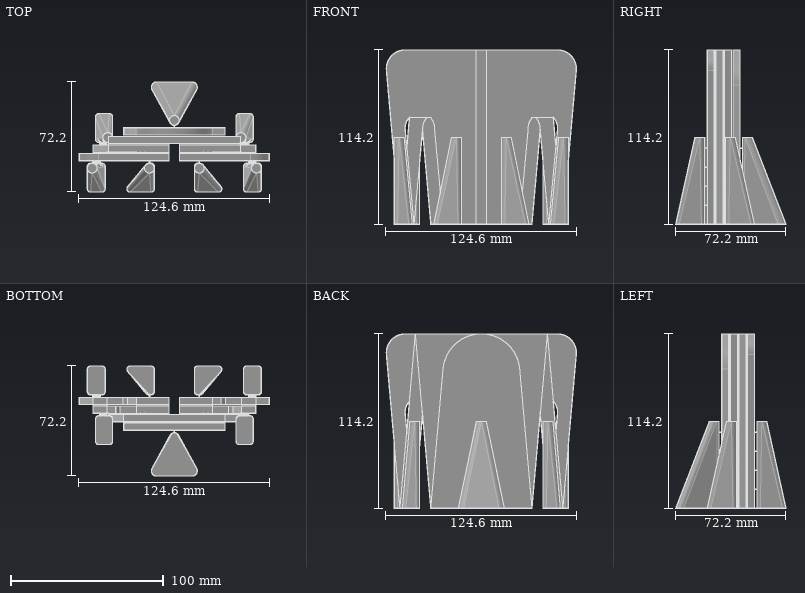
import cadquery as cq
import math

plate_height = 114.2
plate_thickness = 4.9
fold_gap = 0.7
film_thickness = 0.4
half_width = 62.3
corner_radius = 12.5
taper_per_plate = 10.1
slit_half_width = 3.4
shoulder_height = 91.1

window_height = 70.0
window_side_height = 62.3
window_fold_inner = 24.9
window_fold_outer = 44.1
window_lean = 5.7
window_corner_width = 2.9
window_corner_radius = 10.0

foot_height = 56.9
foot_clearance = 1.5
foot_top_radius = 3.2
foot_corner_radius = 2.2
foot_depth = 19.0
foot_top_edge_angle = 1.0
outer_foot_inside = 45.2
outer_foot_outside = 57.0
inner_foot_inside = 13.1
inner_foot_outside = 31.1
middle_foot_inside = 40.4
middle_foot_outside = 51.7
rear_foot_depth = 28.5
rear_foot_half_width = 15.1
rear_foot_corner_radius = 3.5

pin_size = 0.5
pin_spacing = 12.5
pin_count = 5
pin_embedding = 1.0
top_pin_z = (pin_count - 1) * pin_spacing

lean = math.atan(taper_per_plate / plate_height)
corner_overhang = corner_radius * (1 / math.cos(lean) + math.tan(lean) - 1)

front_top_half = half_width + corner_overhang
front_fold_half = front_top_half - taper_per_plate
top_fold_half = front_fold_half - taper_per_plate
rear_fold_half = top_fold_half - taper_per_plate
shoulder_half = rear_fold_half - shoulder_height * math.tan(lean)

film_inset = film_thickness * window_lean / window_side_height


def front_y(index):
    """Y of the front face of a plate."""
    return index * (plate_thickness + fold_gap)


def back_y(index):
    """Y of the back face of a plate."""
    return front_y(index) + plate_thickness


def plate(outline, index):
    """Thicken an XZ outline into the given plate."""
    return outline.extrude(-plate_thickness).translate((0, front_y(index), 0))


def box(x_range, y_range, z_range):
    size = [end - start for start, end in (x_range, y_range, z_range)]
    corner = (x_range[0], y_range[0], z_range[0])
    return cq.Workplane("XY").box(*size, centered=False).translate(corner)


def mirrored(body):
    """Copy of a body on the other side of the centre plane."""
    return body.mirror("YZ")


def window(index, lean_outward):
    """Cutter for the half of the +X window that lies in one plate."""
    outer_x = window_fold_outer + lean_outward
    inner_x = window_fold_inner + lean_outward
    outline = (
        cq.Workplane("XZ")
        .moveTo(window_fold_inner, 0)
        .lineTo(window_fold_outer, 0)
        .lineTo(outer_x, window_side_height)
        .radiusArc((outer_x - window_corner_width, window_height), -window_corner_radius)
        .lineTo(inner_x + window_corner_width, window_height)
        .radiusArc((inner_x, window_side_height), -window_corner_radius)
        .close()
    )
    return plate(outline, index)


def half_plate(index, bottom_half, top_half):
    """The +X half of a slit plate, without its window."""
    outline = cq.Workplane("XZ").polyline([
        (slit_half_width, 0),
        (bottom_half, 0),
        (top_half, plate_height),
        (slit_half_width, plate_height),
    ]).close()
    return plate(outline, index)


def make_wing():
    """The +X halves of the first two plates with the films at their two folds."""
    first = half_plate(0, front_fold_half, front_top_half)
    first = first.edges("|Y and >X and >Z").fillet(corner_radius)
    first = first.cut(window(0, window_lean))
    second = half_plate(1, front_fold_half, top_fold_half).cut(window(1, -window_lean))
    wing = first.union(second)
    bottom_gap = (back_y(0), front_y(1))
    bottom_film = (0, film_thickness)
    inner_span = (slit_half_width, window_fold_inner - film_inset)
    outer_span = (window_fold_outer + film_inset, front_fold_half - film_inset)
    for span in (inner_span, outer_span):
        wing = wing.union(box(span, bottom_gap, bottom_film))
    top_film = (plate_height - film_thickness, plate_height)
    top_span = (slit_half_width, top_fold_half - film_inset)
    return wing.union(box(top_span, (back_y(1), front_y(2)), top_film))


def make_folded_sheet():
    outline = cq.Workplane("XZ").polyline([
        (-rear_fold_half, 0),
        (rear_fold_half, 0),
        (top_fold_half, plate_height),
        (-top_fold_half, plate_height),
    ]).close()
    wing = make_wing()
    return plate(outline, 2).union(wing).union(mirrored(wing))


def make_rear_plate():
    outline = (
        cq.Workplane("XZ")
        .moveTo(-rear_fold_half, 0)
        .lineTo(rear_fold_half, 0)
        .lineTo(shoulder_half, shoulder_height)
        .threePointArc((0, plate_height), (-shoulder_half, shoulder_height))
        .close()
    )
    return plate(outline, 3)


def rounded_wire(corners, height):
    """Closed wire of arcs joined by straight lines or, where the arcs share a centre, by more arcs.

    Each corner is (centre x, centre y, radius, start angle, end angle), anticlockwise, in degrees.
    """
    def point(corner, angle):
        x, y, radius = corner[:3]
        turn = math.radians(angle)
        return cq.Vector(x + radius * math.cos(turn), y + radius * math.sin(turn), height)

    edges = []
    for corner, following in zip(corners, corners[1:] + corners[:1]):
        start, end = corner[3:]
        end_point = point(corner, end)
        next_point = point(following, following[3])
        arc_middle = point(corner, (start + end) / 2)
        edges.append(cq.Edge.makeThreePointArc(point(corner, start), arc_middle, end_point))
        if corner[:3] == following[:3]:
            middle = point(corner, end + foot_top_edge_angle / 2)
            edges.append(cq.Edge.makeThreePointArc(end_point, middle, next_point))
        else:
            edges.append(cq.Edge.makeLine(end_point, next_point))
    return cq.Wire.assembleEdges(edges)


def make_foot(base_corners, top_center):
    """Foot over a base given as anticlockwise corner circles (x, y, radius)."""
    count = len(base_corners)
    normals = []
    for i in range(count):
        x0, y0, r0 = base_corners[i - 1]
        x1, y1, r1 = base_corners[i]
        tilt = math.asin((r0 - r1) / math.hypot(x1 - x0, y1 - y0))
        normals.append(math.degrees(math.atan2(y1 - y0, x1 - x0) + tilt) - 90)
    bottom = []
    top = []
    for i in range(count):
        start = normals[i]
        end = start + (normals[(i + 1) % count] - start) % 360
        bottom.append((*base_corners[i], start, end))
        trim = foot_top_edge_angle / 2
        top.append((*top_center, foot_top_radius, start + trim, end - trim))
    wires = [rounded_wire(bottom, 0), rounded_wire(top, foot_height)]
    return cq.Workplane(cq.Solid.makeLoft(wires, True))


def add_pins(foot, plate_face_y, direction, x_bottom, x_top):
    """Give a foot a row of pins that end on a plate face; direction is the foot's side in Y."""
    reach = plate_face_y + direction * (foot_clearance + pin_embedding)
    for i in range(pin_count):
        z = i * pin_spacing
        x = x_bottom + (x_top - x_bottom) * i / (pin_count - 1)
        foot = foot.union(box(
            (x - pin_size / 2, x + pin_size / 2),
            sorted((plate_face_y, reach)),
            (max(0, z - pin_size / 2), z + pin_size / 2),
        ))
    return foot


def block_corners(inside, outside, near_y, far_y):
    """Corner circles of a rounded rectangle, anticlockwise."""
    r = foot_corner_radius
    low_y, high_y = sorted((near_y, far_y))
    return [
        (inside + r, low_y + r, r),
        (outside - r, low_y + r, r),
        (outside - r, high_y - r, r),
        (inside + r, high_y - r, r),
    ]


def leg_center(index, z):
    """X of the middle of the leg outside the window, in one of the first two plates."""
    direction = 1 if index == 0 else -1
    outer = front_fold_half + direction * z * math.tan(lean)
    inner = window_fold_outer + direction * z * window_lean / window_side_height
    return (inner + outer) / 2


def make_outer_foot():
    near_y = front_y(0) - foot_clearance
    corners = block_corners(outer_foot_inside, outer_foot_outside, near_y, near_y - foot_depth)
    foot = make_foot(corners, (outer_foot_outside - foot_top_radius, near_y - foot_top_radius))
    return add_pins(foot, front_y(0), -1, leg_center(0, 0), leg_center(0, top_pin_z))


def make_inner_foot():
    near_y = front_y(0) - foot_clearance
    far_y = near_y - foot_depth
    r = foot_corner_radius
    corners = [
        (inner_foot_inside + r, far_y + r, r),
        (inner_foot_outside - r, far_y + r, r),
        (inner_foot_inside + r, near_y - r, r),
    ]
    top_x = inner_foot_inside + foot_top_radius
    foot = make_foot(corners, (top_x, near_y - foot_top_radius))
    return add_pins(foot, front_y(0), -1, top_x, top_x)


def make_middle_foot():
    near_y = back_y(1) + foot_clearance
    corners = block_corners(middle_foot_inside, middle_foot_outside, near_y, near_y + foot_depth)
    foot = make_foot(corners, (middle_foot_inside + foot_top_radius, near_y + foot_top_radius))
    return add_pins(foot, back_y(1), 1, leg_center(1, 0), leg_center(1, top_pin_z))


def make_rear_foot():
    near_y = back_y(3) + foot_clearance
    far_y = near_y + rear_foot_depth
    r = rear_foot_corner_radius
    corners = [
        (0, near_y + foot_corner_radius, foot_corner_radius),
        (rear_foot_half_width - r, far_y - r, r),
        (r - rear_foot_half_width, far_y - r, r),
    ]
    foot = make_foot(corners, (0, near_y + foot_top_radius))
    return add_pins(foot, back_y(3), 1, 0, 0)


folded_sheet = make_folded_sheet()
rear_plate = make_rear_plate()
rear_foot = make_rear_foot()
paired_feet = []
for foot in (make_outer_foot(), make_inner_foot(), make_middle_foot()):
    paired_feet += [foot.val(), mirrored(foot).val()]

result = cq.Compound.makeCompound([
    folded_sheet.val(),
    rear_plate.val(),
    rear_foot.val(),
    *paired_feet,
])